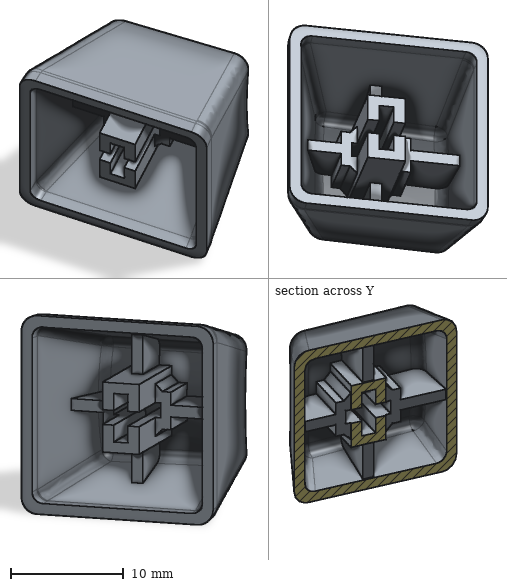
import cadquery as cq
import math

side = 18.0
skirt_height = 1.26
inner_skirt_height = 1.12
skirt_inset = 0.07
outer_radius = 1.5

left_lean = 21.3
right_lean = 4.0
upright_lean = 15.3

dish_radius = 25.02
dish_tilt = 2.7
dish_height = 10.78

wall = 1.0
inner_radius = 1.0

stem_front = 0.99
rib_front = 5.5
stem_long = 6.34
stem_short = 3.42
gusset_reach = 4.75
slot_long = 4.4
slot_width = 1.33
rib_width = 1.06

blank_height = 15.3


def rectangle(left, right, half_z, y):
    """Closed rectangular wire parallel to the XZ plane at height y."""
    corners = [(-left, -half_z), (right, -half_z), (right, half_z), (-left, half_z)]
    return cq.Wire.makePolygon([cq.Vector(x, y, z) for x, z in corners], close=True)


def cap_blank(offset, bend_height):
    """Skirt and leaning walls, all moved inward by `offset`, with sharp corners and a flat far end."""
    leans = [math.radians(a) for a in (left_lean, right_lean, upright_lean)]
    opening_half = side / 2 - offset
    drop = skirt_height - bend_height
    bend_half = [side / 2 - skirt_inset + drop * math.tan(a) - offset / math.cos(a) for a in leans]
    rise = blank_height - bend_height
    far_half = [half - rise * math.tan(a) for half, a in zip(bend_half, leans)]

    opening = rectangle(opening_half, opening_half, opening_half, 0)
    bend = rectangle(*bend_half, bend_height)
    far_end = rectangle(*far_half, blank_height)
    return cq.Workplane(cq.Solid.makeLoft([opening, bend, far_end], True))


def corner_edges(blank):
    """Edges running up the four corners, on the skirt and on the leaning walls."""
    shortest_rise = skirt_height / 2
    return [e for e in blank.edges().vals() if abs(e.startPoint().y - e.endPoint().y) > shortest_rise]


def bend_edges(blank):
    """Edges where the skirt meets the leaning walls."""
    tolerance = skirt_height / 10
    return [e for e in blank.edges().vals() if abs(e.Center().y - skirt_height) < tolerance]


def dish(offset):
    """Cylinder that trims the blank to the dished top, lowered by `offset`."""
    tilt = math.radians(dish_tilt)
    along = cq.Vector(math.cos(tilt), math.sin(tilt), 0)
    up = cq.Vector(-math.sin(tilt), math.cos(tilt), 0)
    start = cq.Vector(0, dish_height, 0) + up * dish_radius - along * side
    return cq.Workplane(cq.Solid.makeCylinder(dish_radius + offset, 2 * side, start, along))


def cap():
    """Solid outer body with rounded corners and dished top."""
    blank = cap_blank(0, skirt_height)
    rounded = blank.newObject(corner_edges(blank) + bend_edges(blank)).fillet(outer_radius)
    return rounded.cut(dish(0))


def hollow():
    """Space inside the walls, rounded at the corners and around the ceiling."""
    blank = cap_blank(wall, inner_skirt_height)
    trimmed = blank.cut(dish(wall))
    ceiling_edges = trimmed.faces("%CYLINDER").edges().vals()
    return trimmed.newObject(corner_edges(trimmed) + ceiling_edges).fillet(inner_radius)


def bar(size_x, size_z, front):
    """Bar centred on the Y axis, running from `front` into the top."""
    return cq.Workplane("XZ", origin=(0, front, 0)).rect(size_x, size_z).extrude(-(blank_height - front))


def stem():
    """Keyed post with its gussets and the ribs that reach the walls."""
    post = bar(stem_short, stem_long, stem_front)
    cross = bar(stem_long, stem_short, rib_front)
    ribs = bar(side, rib_width, rib_front).union(bar(rib_width, side, rib_front))
    gusset_chamfer = (gusset_reach - stem_short) / 2
    gussets = bar(gusset_reach, gusset_reach, rib_front).edges("|Y").chamfer(gusset_chamfer)
    slot = bar(slot_long, slot_width, 0).union(bar(slot_width, slot_long, 0))
    return post.union(cross).union(ribs).union(gussets).cut(slot)


space = hollow()
result = cap().cut(space).union(stem().intersect(space))